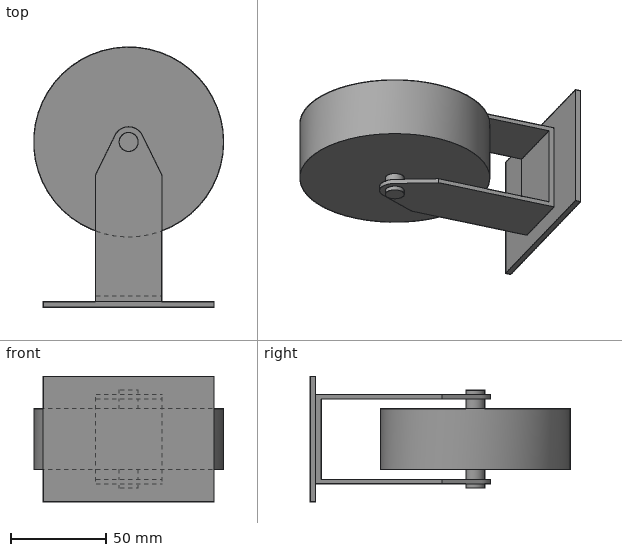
import cadquery as cq
import math

wheel_diameter = 100.0
wheel_width = 32.0
axle_diameter = 10.0
axle_length = 51.5

plate_length = 90.0
plate_height = 66.0
plate_thickness = 3.0
axle_to_plate_face = 87.0

fork_width = 35.0
fork_height = 47.0
arm_thickness = 2.4
bridge_thickness = 3.0
tip_radius = 8.0
shoulder_distance = 17.5

plate_outer_y = -axle_to_plate_face
plate_inner_y = plate_outer_y + plate_thickness


def make_disc(diameter, height):
    """Cylinder on the wheel axis, centred on the mid plane."""
    return cq.Workplane("XY").circle(diameter / 2).extrude(height / 2, both=True)


def make_plate():
    return (
        cq.Workplane("XY")
        .box(plate_length, plate_thickness, plate_height, centered=(True, False, True))
        .translate((0, plate_outer_y, 0))
    )


def make_arm(bottom_z):
    """Flat arm whose sides taper from the shoulders, tangent to the rounded tip."""
    half_width = fork_width / 2
    shoulder_radius = math.hypot(half_width, shoulder_distance)
    shoulder_angle = math.atan2(-shoulder_distance, half_width)
    tangent_angle = shoulder_angle + math.acos(tip_radius / shoulder_radius)
    tangent_x = tip_radius * math.cos(tangent_angle)
    tangent_y = tip_radius * math.sin(tangent_angle)
    return (
        cq.Workplane("XY", origin=(0, 0, bottom_z))
        .moveTo(-half_width, plate_inner_y)
        .lineTo(half_width, plate_inner_y)
        .lineTo(half_width, -shoulder_distance)
        .lineTo(tangent_x, tangent_y)
        .threePointArc((0, tip_radius), (-tangent_x, tangent_y))
        .lineTo(-half_width, -shoulder_distance)
        .close()
        .extrude(arm_thickness)
    )


def make_fork():
    """Two arms joined by a bridge that lies against the plate."""
    bridge = (
        cq.Workplane("XY")
        .box(fork_width, bridge_thickness, fork_height, centered=(True, False, True))
        .translate((0, plate_inner_y, 0))
    )
    lower_arm = make_arm(-fork_height / 2)
    upper_arm = make_arm(fork_height / 2 - arm_thickness)
    return bridge.union(lower_arm).union(upper_arm)


wheel = make_disc(wheel_diameter, wheel_width)
axle = make_disc(axle_diameter, axle_length)

result = wheel.union(axle).union(make_fork()).union(make_plate())